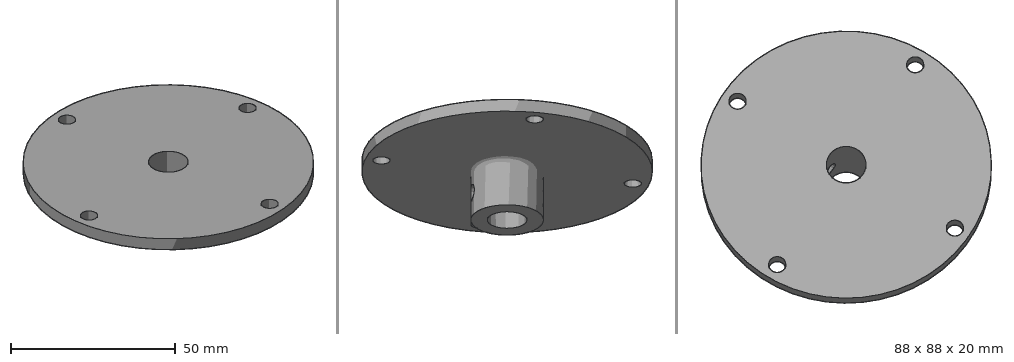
import cadquery as cq

flange_diameter = 88.0
flange_thickness = 4.0

total_height = 20.0
hub_diameter = 22.0
bore_diameter = 12.0
hub_fillet = 2.0

bolt_hole_diameter = 5.2
bolt_circle_radius = 39.0
bolt_count = 4
cross_hole_diameter = 5.0
cross_hole_height = 8.0

flange_underside = total_height - flange_thickness


def make_body():
    """Hub standing on Z = 0 with the flange on top and a fillet between them."""
    hub_radius = hub_diameter / 2
    flange_radius = flange_diameter / 2
    profile = (
        cq.Workplane("XZ")
        .lineTo(hub_radius, 0)
        .lineTo(hub_radius, flange_underside - hub_fillet)
        .radiusArc((hub_radius + hub_fillet, flange_underside), hub_fillet)
        .lineTo(flange_radius, flange_underside)
        .lineTo(flange_radius, total_height)
        .lineTo(0, total_height)
        .close()
    )
    return profile.revolve(360, (0, 0, 0), (0, 1, 0))


def make_bore():
    """Central bore through hub and flange."""
    return cq.Workplane("XY").circle(bore_diameter / 2).extrude(total_height)


def make_bolt_holes():
    """Bolt holes through the flange, on the X and Y axes."""
    return (
        cq.Workplane("XY")
        .workplane(offset=flange_underside)
        .polarArray(bolt_circle_radius, 0, 360, bolt_count)
        .circle(bolt_hole_diameter / 2)
        .extrude(flange_thickness)
    )


def make_cross_hole():
    """Pin hole along Y through both walls of the hub."""
    return (
        cq.Workplane("XZ")
        .center(0, cross_hole_height)
        .circle(cross_hole_diameter / 2)
        .extrude(hub_diameter, both=True)
    )


result = make_body().cut(make_bore()).cut(make_bolt_holes()).cut(make_cross_hole())